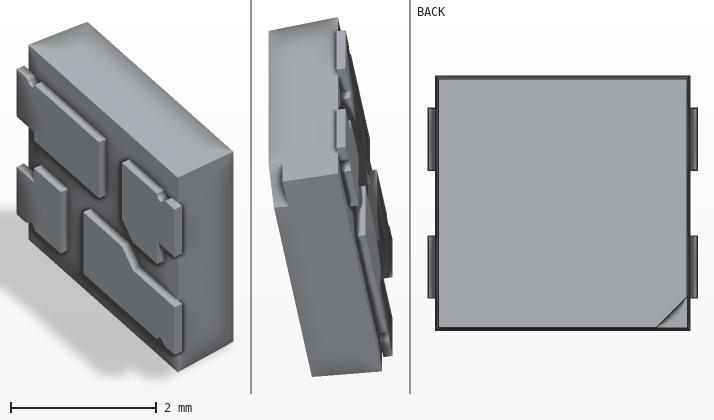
import cadquery as cq
import math

overall_width = 3.7
housing_size = 3.5
overall_depth = 1.1
pad_thickness = 0.125
housing_depth = overall_depth - pad_thickness
draft_inset = 0.04

mark_leg = 0.42
mark_depth = 0.195

pad_end_x = overall_width / 2
shoulder_x = 1.443
pad_edge_z = 1.305
tab_z = 0.45
upper_left_inner_x = 0.078
upper_left_bottom_z = 0.3
bevel_x = 0.618
bevel = 0.25
upper_right_bottom_z = upper_left_bottom_z - bevel
lower_top_z = -tab_z + bevel
lower_left_inner_x = -0.815
lower_right_inner_x = -0.29

notch_x = 1.51
notch_radius = 0.08
flare_radius = 0.085


def make_housing():
    """Block tapering towards the back, with one bevelled lower back corner."""
    back_size = housing_size - 2 * draft_inset
    block = (
        cq.Workplane("XZ")
        .rect(housing_size, housing_size)
        .workplane(offset=-housing_depth)
        .rect(back_size, back_size)
        .loft(ruled=True)
    )
    corner = back_size / 2
    overshoot = 2 * draft_inset
    low = -corner - overshoot
    high = -corner + mark_leg + overshoot
    mark = (
        cq.Workplane("XZ", origin=(0, housing_depth, 0))
        .polyline([(low, low), (high, low), (low, high)])
        .close()
        .extrude(mark_depth)
    )
    return block.cut(mark)


def make_notch(side, edge):
    """Notch cutter; side is the X sign of the pad end, edge the Z sign of its outer edge."""
    flare_x = math.sqrt(notch_radius**2 + 2 * notch_radius * flare_radius)
    flare_angle = math.acos(flare_radius / (notch_radius + flare_radius))

    def place(outward, inward):
        return (side * (notch_x + outward), edge * (pad_edge_z - inward))

    def flare_point(angle):
        return place(
            flare_x - flare_radius * math.sin(angle),
            flare_radius * (1 - math.cos(angle)),
        )

    return (
        cq.Workplane("XZ")
        .moveTo(*place(flare_x, 0))
        .threePointArc(flare_point(flare_angle / 2), flare_point(flare_angle))
        .threePointArc(place(0, notch_radius), place(-notch_radius, 0))
        .close()
        .extrude(pad_thickness)
    )


def make_pad(outline, side, edge):
    """Flat terminal pad on the front face, notched in its outer edge."""
    pad = cq.Workplane("XZ").polyline(outline).close().extrude(pad_thickness)
    return pad.cut(make_notch(side, edge))


upper_left_outline = [
    (-pad_end_x, pad_edge_z),
    (upper_left_inner_x, pad_edge_z),
    (upper_left_inner_x, upper_left_bottom_z),
    (-shoulder_x, upper_left_bottom_z),
    (-shoulder_x, tab_z),
    (-pad_end_x, tab_z),
]
upper_right_outline = [
    (pad_end_x, pad_edge_z),
    (bevel_x, pad_edge_z),
    (bevel_x, upper_left_bottom_z),
    (bevel_x + bevel, upper_right_bottom_z),
    (shoulder_x, upper_right_bottom_z),
    (shoulder_x, tab_z),
    (pad_end_x, tab_z),
]
lower_left_outline = [
    (-pad_end_x, -pad_edge_z),
    (lower_left_inner_x, -pad_edge_z),
    (lower_left_inner_x, lower_top_z),
    (-shoulder_x, lower_top_z),
    (-shoulder_x, -tab_z),
    (-pad_end_x, -tab_z),
]
lower_right_outline = [
    (pad_end_x, -pad_edge_z),
    (lower_right_inner_x, -pad_edge_z),
    (lower_right_inner_x, lower_top_z),
    (bevel_x, lower_top_z),
    (bevel_x + bevel, -tab_z),
    (pad_end_x, -tab_z),
]

housing = make_housing()
pads = [
    make_pad(outline, side, edge)
    for outline, side, edge in [
        (upper_left_outline, -1, 1),
        (upper_right_outline, 1, 1),
        (lower_left_outline, -1, -1),
        (lower_right_outline, 1, -1),
    ]
]

result = cq.Compound.makeCompound([housing.solids().val(), *[pad.solids().val() for pad in pads]])